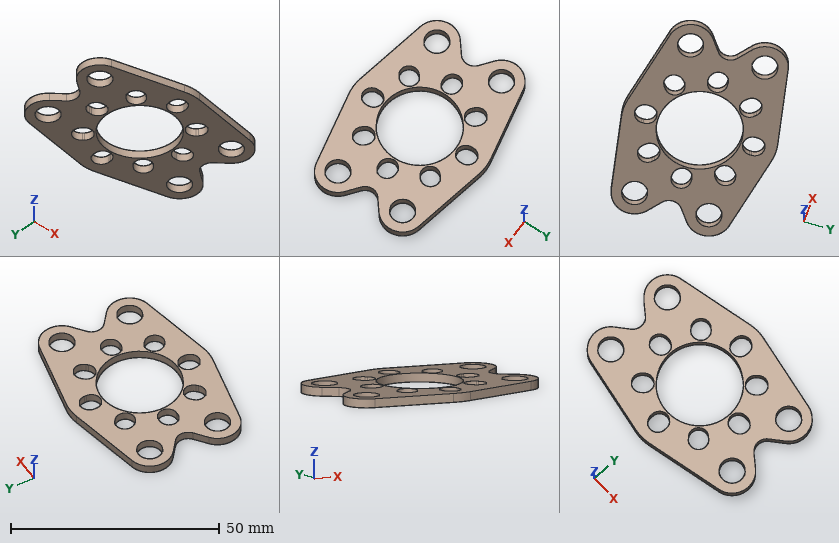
import cadquery as cq
import math

length = 53.35
width = 38.4
thickness = 2.2

ear_radius = 5.65
ear_hole_diameter = 6.25
ear_x = length / 2 - ear_radius
ear_y = 9.4

crown_radius = 11.95
crown_y = width / 2 - crown_radius

notch_radius = 3.1
notch_floor_x = 20.15
notch_x = notch_floor_x + notch_radius

bore_diameter = 20.9
slot_count = 8
slot_ring_radius = 13.65
slot_length = 5.45
slot_width = 4.85


def on_circle(center_x, center_y, radius, angle):
    return (center_x + radius * math.cos(angle), center_y + radius * math.sin(angle))


crown_to_ear = math.hypot(ear_x, ear_y - crown_y)
flank_angle = math.atan2(ear_y - crown_y, ear_x) + math.acos((crown_radius - ear_radius) / crown_to_ear)

ear_to_notch = math.hypot(notch_x - ear_x, ear_y)
notch_edge_angle = math.atan2(-ear_y, notch_x - ear_x) + math.acos((ear_radius + notch_radius) / ear_to_notch)

crown_end = on_circle(0, crown_y, crown_radius, flank_angle)
ear_start = on_circle(ear_x, ear_y, ear_radius, flank_angle)
ear_middle = on_circle(ear_x, ear_y, ear_radius, (flank_angle + notch_edge_angle) / 2)
ear_end = on_circle(ear_x, ear_y, ear_radius, notch_edge_angle)
notch_start = on_circle(notch_x, 0, notch_radius, notch_edge_angle + math.pi)


def mirror_x(point):
    return (-point[0], point[1])


def mirror_y(point):
    return (point[0], -point[1])


def rotate_half_turn(point):
    return (-point[0], -point[1])


def make_plate():
    outline = cq.Workplane("XY").moveTo(*mirror_x(crown_end))
    for place in (lambda point: point, rotate_half_turn):
        outline = (
            outline.threePointArc(place((0, width / 2)), place(crown_end))
            .lineTo(*place(ear_start))
            .threePointArc(place(ear_middle), place(ear_end))
            .lineTo(*place(notch_start))
            .threePointArc(place((notch_floor_x, 0)), place(mirror_y(notch_start)))
            .lineTo(*place(mirror_y(ear_end)))
            .threePointArc(place(mirror_y(ear_middle)), place(mirror_y(ear_start)))
            .lineTo(*place(mirror_y(crown_end)))
        )
    return outline.close().extrude(thickness)


def make_round_holes():
    bore = cq.Workplane("XY").circle(bore_diameter / 2).extrude(thickness)
    ear_holes = (
        cq.Workplane("XY")
        .rect(2 * ear_x, 2 * ear_y, forConstruction=True)
        .vertices()
        .circle(ear_hole_diameter / 2)
        .extrude(thickness)
    )
    return bore.union(ear_holes)


def make_radial_slots():
    return (
        cq.Workplane("XY")
        .polarArray(slot_ring_radius, 0, 360, slot_count)
        .slot2D(slot_length, slot_width)
        .extrude(thickness)
    )


result = make_plate().cut(make_round_holes()).cut(make_radial_slots())